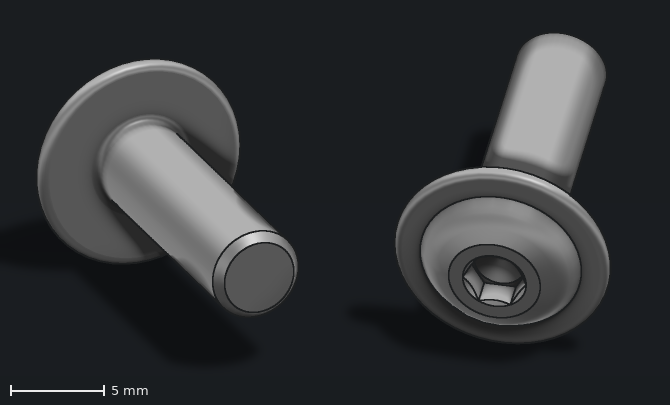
import cadquery as cq
import math

total_length = 18.75
shank_radius = 5.0 / 2
end_chamfer = 0.49

face_radius = shank_radius
dome_base_radius = 4.4
dome_height = 1.72
dome_bulge = 0.2
flange_radius = 11.8 / 2
flange_thickness = 1.01
rim_radius = flange_thickness / 2
flange_back = dome_height + flange_thickness
neck_fillet = 0.43

hex_across_flats = 3.0
hex_across_corners = hex_across_flats / math.cos(math.radians(30))
socket_depth = 1.55
lead_in_angle = 45.0
bottom_cone_radius = 2.8 / 2
bottom_cone_angle = 60.0


def cone_along_x(start, radius, half_angle):
    """Solid cone with its base at X = start, narrowing to a point toward +X."""
    height = radius / math.tan(math.radians(half_angle))
    profile = cq.Workplane("XY").polyline([(start, 0), (start, radius), (start + height, 0)]).close()
    return profile.revolve(360, (0, 0, 0), (1, 0, 0))


def screw_body():
    """Dome, flange, neck fillet and shank revolved about the X axis."""
    dome_slant = math.hypot(dome_height, dome_base_radius - face_radius)
    dome_middle = (
        dome_height / 2 - dome_bulge * (dome_base_radius - face_radius) / dome_slant,
        (face_radius + dome_base_radius) / 2 + dome_bulge * dome_height / dome_slant,
    )
    rim_center_radius = flange_radius - rim_radius
    fillet_offset = neck_fillet * (1 - math.sqrt(0.5))
    profile = (
        cq.Workplane("XY")
        .lineTo(0, face_radius)
        .threePointArc(dome_middle, (dome_height, dome_base_radius))
        .lineTo(dome_height, rim_center_radius)
        .threePointArc((dome_height + rim_radius, flange_radius), (flange_back, rim_center_radius))
        .lineTo(flange_back, shank_radius + neck_fillet)
        .threePointArc(
            (flange_back + fillet_offset, shank_radius + fillet_offset),
            (flange_back + neck_fillet, shank_radius),
        )
        .lineTo(total_length - end_chamfer, shank_radius)
        .lineTo(total_length, shank_radius - end_chamfer)
        .lineTo(total_length, 0)
        .close()
    )
    return profile.revolve(360, (0, 0, 0), (1, 0, 0))


def hex_socket():
    """Cutting volume of the socket, with two hexagon corners on the Y axis."""
    hexagon = cq.Workplane("YZ").polygon(6, hex_across_corners).extrude(socket_depth)
    lead_in = cone_along_x(0, hex_across_corners / 2, lead_in_angle)
    bottom = cone_along_x(socket_depth, bottom_cone_radius, bottom_cone_angle)
    return hexagon.union(lead_in).union(bottom)


result = screw_body().cut(hex_socket())